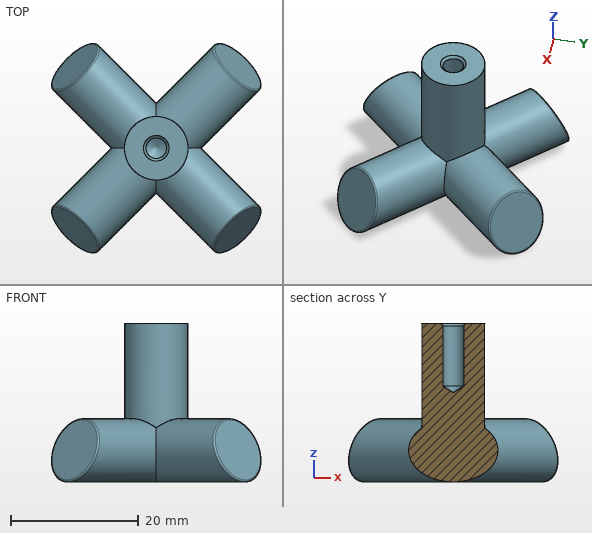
import cadquery as cq
import math

bar_diameter = 10.0
bar_radius = bar_diameter / 2
total_height = 25.0
span = 32.98

arm_count = 4
first_arm_angle = 45.0
end_tilt = 20.0
end_rounding = 0.25

hole_diameter = 3.23
hole_mouth_diameter = 4.02
hole_depth = 9.9
drill_point_angle = 118.0

tilt = math.radians(end_tilt)
core_radius = bar_radius - end_rounding
core_reach = (span / 2 - end_rounding) * math.sqrt(2)
core_length = core_reach - core_radius / math.cos(tilt)
arm_length = core_length + end_rounding / math.cos(tilt)

end_shift = bar_radius * math.tan(tilt)


def make_arm(angle):
    """Bar from the centre outwards, longest along its underside."""
    longest = arm_length + end_shift
    shortest = arm_length - end_shift
    bar = cq.Workplane("YZ").center(0, bar_radius).circle(bar_radius).extrude(longest)
    side_outline = (
        cq.Workplane("XZ")
        .polyline([(0, 0), (longest, 0), (shortest, bar_diameter), (0, bar_diameter)])
        .close()
        .extrude(bar_radius, both=True)
    )
    arm = bar.intersect(side_outline)
    arm = arm.faces(">X").edges("not |X").fillet(end_rounding)
    return arm.rotate((0, 0, 0), (0, 0, 1), angle)


def make_stem():
    """Upright bar starting at the arm axes."""
    return (
        cq.Workplane("XY")
        .workplane(offset=bar_radius)
        .circle(bar_radius)
        .extrude(total_height - bar_radius)
    )


def make_hole():
    """Blind drilled hole with a 45 degree countersink and a conical bottom."""
    radius = hole_diameter / 2
    mouth_radius = hole_mouth_diameter / 2
    bottom = total_height - hole_depth
    tip = bottom - radius / math.tan(math.radians(drill_point_angle / 2))
    return (
        cq.Workplane("XZ")
        .moveTo(0, tip)
        .lineTo(radius, bottom)
        .lineTo(radius, total_height - (mouth_radius - radius))
        .lineTo(mouth_radius, total_height)
        .lineTo(0, total_height)
        .close()
        .revolve(360, (0, 0, 0), (0, 1, 0))
    )


result = make_stem()
for index in range(arm_count):
    result = result.union(make_arm(first_arm_angle + index * 360 / arm_count))
result = result.cut(make_hole())